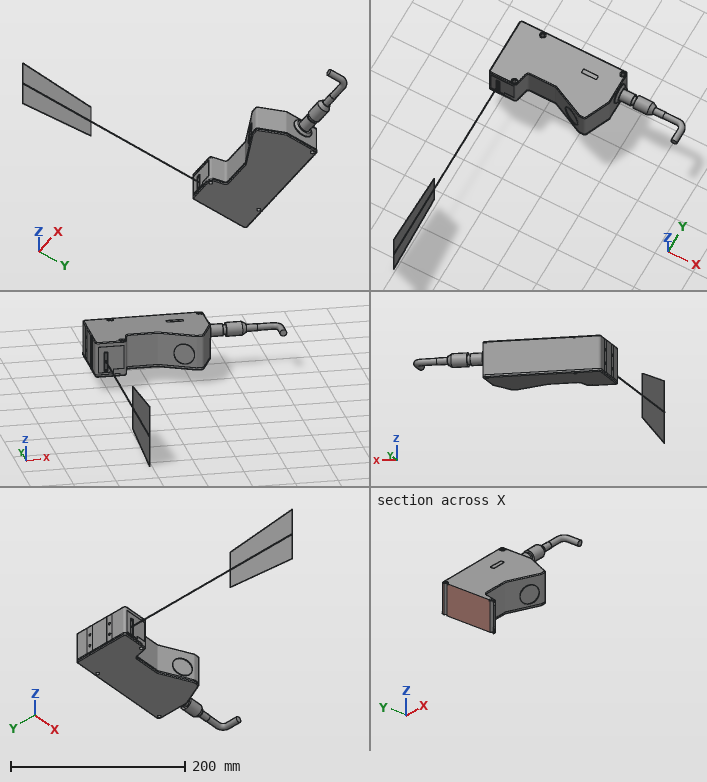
import cadquery as cq
import math

total_length_x = 230.0
total_length_y = 325.0
total_height = 73.0

body_width = 141.0
body_depth = 76.7
body_height = 42.5
foot_width = 36.0
notch_left = 40.5
notch_right = 77.5
notch_depth = 19.8
nose_left = 118.3
nose_right = 126.5
shoulder_y = 32.2
corner_radius = 3.2
edge_chamfer = 1.15

plate_thickness = 3.2
plate_overhang = 0.1
plate_end_x = 28.5
plate_restart_x = 37.0

screw_diameter = 4.2
screw_head_diameter = 7.0
screw_head_depth = 1.5
screw_left_x = 32.0
screw_front_inset = 4.0
screw_back_inset = 5.0
screw_right_inset = 4.2

indicator_length = 19.5
indicator_width = 5.2
indicator_x = 103.7
indicator_y = 53.3
indicator_depth = 0.3
indicator_corner = 1.0

groove_width = 8.0
groove_depth = 0.3
groove_y = (24.7, 55.2)
mount_hole_diameter = 3.0
mount_hole_depth = 6.5
mount_hole_z = (13.3, 29.2)

beam_x = 12.5
beam_z = 18.5
beam_diameter = 1.0
sheet_thickness = 0.5
sheet_length = 96.5
sheet_near_height = 52.0
far_y = body_depth - total_length_y

panel_depth = 0.3
panel_right = foot_width - 3.0
panel_bottom = 5.5
panel_top = body_height - 5.5
panel_step_x = 20.8
panel_step_z = 9.0

slot_width = 4.5
slot_height = 23.5
slot_depth = 1.0
slot_corner = 0.5
slot_rim = 1.0
inner_slot_depth = 3.2

window_diameter = 24.5
window_depth = 1.3
window_x = 105.0

connector_y = 55.0
connector_z = 26.5
flange_radius = 12.5
flange_end_radius = 9.5
flange_land = 1.0
flange_end = 144.5
socket_radius = 7.0
socket_end = 159.5
neck_radius = 5.5
neck_end = 163.5
sleeve_radius = 8.0
sleeve_end = 182.0
taper_end_radius = 5.2
taper_end = 187.2
collar_radius = 4.2
collar_end = 200.2
cable_radius = 4.0
cable_bend = 7.8
cable_end_y = 30.2


def box(x_min, x_max, y_min, y_max, z_min, z_max):
    size = (x_max - x_min, y_max - y_min, z_max - z_min)
    return cq.Workplane("XY").box(*size, centered=False).translate((x_min, y_min, z_min))


def housing_outline():
    return cq.Workplane("XY").polyline([
        (0, 0),
        (foot_width, 0),
        (notch_left, notch_depth),
        (notch_right, notch_depth),
        (nose_left, 0),
        (nose_right, 0),
        (body_width, shoulder_y),
        (body_width, body_depth),
        (0, body_depth),
    ]).close()


def make_housing():
    block = housing_outline().offset2D(-plate_overhang, "intersection").extrude(body_height)
    block = block.edges("|Z").fillet(corner_radius)
    return block.faces("<Z or >Z").chamfer(edge_chamfer)


def make_cover_plate():
    """Slightly proud band around the underside, left out at the corner of the foot."""
    plate = housing_outline().extrude(plate_thickness).edges("|Z").fillet(corner_radius)
    plate = plate.faces("<Z").chamfer(edge_chamfer)
    gap = box(plate_end_x, plate_restart_x, 0, corner_radius, 0, plate_thickness)
    return plate.cut(gap)


def make_screw_holes():
    screw_right_x = body_width - screw_right_inset
    screw_back_y = body_depth - screw_back_inset
    places = [
        (screw_left_x, screw_front_inset),
        (screw_left_x, screw_back_y),
        (screw_right_x, screw_back_y),
    ]
    holes = cq.Workplane("XY").pushPoints(places).circle(screw_diameter / 2).extrude(body_height)
    heads = cq.Workplane("XY").workplane(offset=body_height - screw_head_depth)
    heads = heads.pushPoints(places).circle(screw_head_diameter / 2).extrude(screw_head_depth)
    return holes.union(heads)


def make_indicator():
    pocket = cq.Workplane("XY").rect(indicator_length, indicator_width).extrude(indicator_depth)
    pocket = pocket.edges("|Z").fillet(indicator_corner)
    return pocket.translate((indicator_x, indicator_y, body_height - indicator_depth))


def make_mounting_groove(y):
    half = groove_width / 2
    groove = box(0, groove_depth, y - half, y + half, plate_thickness, body_height - edge_chamfer)
    places = [(y, z) for z in mount_hole_z]
    holes = cq.Workplane("YZ").pushPoints(places).circle(mount_hole_diameter / 2)
    return groove.union(holes.extrude(mount_hole_depth))


def make_front_panel():
    """Shallow recess across the foot with a stepped lower edge."""
    outline = cq.Workplane("XZ").polyline([
        (corner_radius, panel_bottom),
        (panel_step_x, panel_bottom),
        (panel_step_x, panel_step_z),
        (panel_right, panel_step_z),
        (panel_right, panel_top),
        (corner_radius, panel_top),
    ]).close()
    return outline.extrude(-panel_depth)


def slot_pocket(width, height, depth):
    pocket = cq.Workplane("XZ").center(beam_x, beam_z).rect(width, height).extrude(-depth)
    return pocket.edges("|Y").chamfer(slot_corner * width / slot_width)


def make_emitter_slot():
    outer = slot_pocket(slot_width, slot_height, slot_depth)
    inner = slot_pocket(slot_width - 2 * slot_rim, slot_height - 2 * slot_rim, inner_slot_depth)
    return outer.union(inner)


def make_receiver_window():
    run = nose_left - notch_right
    face_length = math.hypot(run, notch_depth)
    window_y = notch_depth * (nose_left - window_x) / run
    outward = (-notch_depth / face_length, -run / face_length, 0)
    plane = cq.Plane((window_x, window_y, beam_z), xDir=(0, 0, 1), normal=outward)
    return cq.Workplane(plane).circle(window_diameter / 2).extrude(-window_depth)


def make_beam():
    """Thin beam that widens into a flat tapered sheet over the measuring range."""
    ray = cq.Workplane("XZ").center(beam_x, beam_z).circle(beam_diameter / 2)
    ray = ray.extrude(-far_y + inner_slot_depth).translate((0, inner_slot_depth, 0))
    near_y = far_y + sheet_length
    sheet = cq.Workplane("YZ").polyline([
        (near_y, beam_z - sheet_near_height / 2),
        (far_y, beam_z - total_height / 2),
        (far_y, beam_z + total_height / 2),
        (near_y, beam_z + sheet_near_height / 2),
    ]).close().extrude(sheet_thickness / 2, both=True).translate((beam_x, 0, 0))
    return ray.union(sheet)


def make_connector():
    """Turned connector, as a half profile of (X, radius) spun about its own axis."""
    flange_start = body_width - edge_chamfer
    profile = cq.Workplane("XY").polyline([
        (flange_start, 0),
        (flange_start, flange_radius),
        (body_width + flange_land, flange_radius),
        (flange_end, flange_end_radius),
        (flange_end, socket_radius),
        (socket_end, socket_radius),
        (socket_end, neck_radius),
        (neck_end, neck_radius),
        (neck_end, sleeve_radius),
        (sleeve_end, sleeve_radius),
        (taper_end, taper_end_radius),
        (taper_end, collar_radius),
        (collar_end, collar_radius),
        (collar_end, 0),
    ]).close()
    turned = profile.revolve(360, (0, 0, 0), (1, 0, 0))
    return turned.translate((0, connector_y, connector_z))


def make_cable():
    leg_x = total_length_x - cable_radius
    bend_x = leg_x - cable_bend
    bend_y = connector_y - cable_bend
    mid_offset = cable_bend * math.sqrt(0.5)
    bend_middle = (bend_x + mid_offset, bend_y + mid_offset)
    path = cq.Workplane("XY").workplane(offset=connector_z).moveTo(taper_end, connector_y)
    path = path.lineTo(bend_x, connector_y).threePointArc(bend_middle, (leg_x, bend_y))
    path = path.lineTo(leg_x, cable_end_y)
    start = cq.Workplane("YZ", origin=(taper_end, connector_y, connector_z))
    return start.circle(cable_radius).sweep(path)


result = make_housing().union(make_cover_plate())
result = result.cut(make_screw_holes()).cut(make_indicator())
for y in groove_y:
    result = result.cut(make_mounting_groove(y))
result = result.cut(make_front_panel()).cut(make_emitter_slot()).cut(make_receiver_window())
result = result.union(make_beam()).union(make_connector()).union(make_cable())